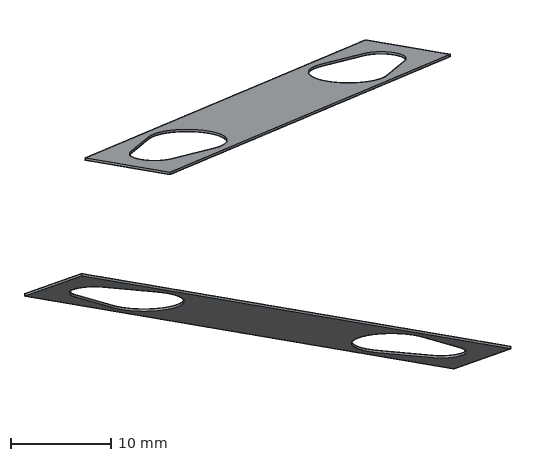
import cadquery as cq
import math

plate_width = 10.0
plate_length = 52.0
plate_thickness = 0.25

large_radius = 4.0
small_radius = 2.5
end_margin = 2.5
opening_length = 12.5

small_center_y = plate_length / 2 - end_margin - small_radius
large_center_y = plate_length / 2 - end_margin - opening_length + large_radius


def teardrop_cutter():
    """Opening at the +Y end: two arcs joined by their common outer tangents."""
    center_distance = small_center_y - large_center_y
    tangent_angle = math.asin((large_radius - small_radius) / center_distance)
    across = math.cos(tangent_angle)
    along = math.sin(tangent_angle)

    large_x = large_radius * across
    large_y = large_center_y + large_radius * along
    small_x = small_radius * across
    small_y = small_center_y + small_radius * along

    return (
        cq.Workplane("XY")
        .moveTo(large_x, large_y)
        .lineTo(small_x, small_y)
        .threePointArc((0, small_center_y + small_radius), (-small_x, small_y))
        .lineTo(-large_x, large_y)
        .threePointArc((0, large_center_y - large_radius), (large_x, large_y))
        .close()
        .extrude(plate_thickness)
    )


plate = cq.Workplane("XY").box(
    plate_width, plate_length, plate_thickness, centered=(True, True, False)
)

upper_opening = teardrop_cutter()
lower_opening = upper_opening.mirror("XZ")

result = plate.cut(upper_opening).cut(lower_opening)